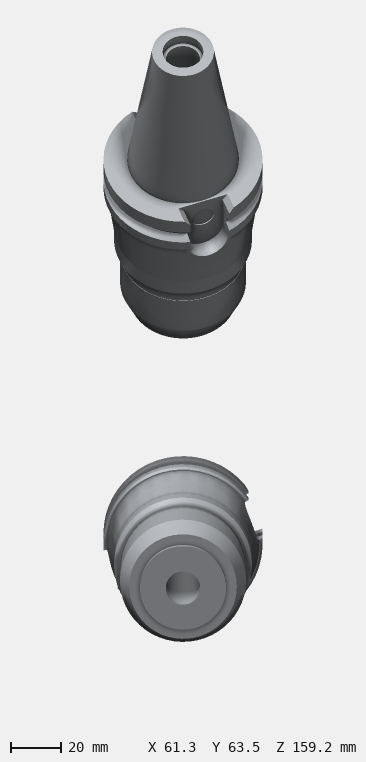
import cadquery as cq

total_height = 159.2
nose_top = 2.4
nut_cone_top = 12.0
nut_top = 31.0
collar_top = 36.0
shoulder_top = 38.7
body_cone_bottom = 47.0
flange_bottom = 71.3
flange_top = 90.0
gauge_plane = 91.0

nose_radius = 17.2
nut_end_radius = 21.5
nut_radius = 25.1
collar_radius = 25.0
body_radius = 27.5
body_cone_radius = 30.4
flange_radius = 63.5 / 2
gauge_radius = 22.3

taper_slope = 7 / 48
shank_end_radius = gauge_radius - taper_slope * (total_height - gauge_plane)

flange_chamfer = 0.8
groove_radius = 28.2
groove_lower_edge = 76.9
groove_upper_edge = 83.2
groove_wall_rise = 1.3

bore_radius = 6.8
counterbore_radius = 8.1
counterbore_depth = 5.0

slot_width = 16.5
slot_bottom = 63.5
slot_floor_left = 25.0
slot_floor_right = 22.8
slot_mouth_chamfer = 2.2
recess_radius = 4.8
recess_height = 80.0
recess_depth = 0.5


def turned_body():
    """Solid of revolution: clamping nut, body, grooved flange and taper shank."""
    profile = [
        (0, 0),
        (nose_radius, 0),
        (nose_radius, nose_top),
        (nut_end_radius, nose_top),
        (nut_radius, nut_cone_top),
        (nut_radius, nut_top),
        (collar_radius, nut_top),
        (collar_radius, collar_top),
        (body_radius, shoulder_top),
        (body_radius, body_cone_bottom),
        (body_cone_radius, flange_bottom),
        (flange_radius - flange_chamfer, flange_bottom),
        (flange_radius, flange_bottom + flange_chamfer),
        (flange_radius, groove_lower_edge),
        (groove_radius, groove_lower_edge + groove_wall_rise),
        (groove_radius, groove_upper_edge - groove_wall_rise),
        (flange_radius, groove_upper_edge),
        (flange_radius, flange_top),
        (gauge_radius, flange_top),
        (gauge_radius, gauge_plane),
        (shank_end_radius, total_height),
        (0, total_height),
    ]
    return cq.Workplane("YZ").polyline(profile).close().revolve(360, (0, 0), (0, 1))


def axial_bore():
    """Through bore with a counterbore in the small end of the shank."""
    bore = cq.Workplane("XY").circle(bore_radius).extrude(total_height)
    counterbore = (
        cq.Workplane("XY", origin=(0, 0, total_height))
        .circle(counterbore_radius)
        .extrude(-counterbore_depth)
    )
    return bore.union(counterbore)


def drive_slot(side, floor_distance):
    """Round-ended slot with a chamfered mouth and a shallow round recess in its floor."""
    half_width = slot_width / 2
    mouth_half_width = half_width + slot_mouth_chamfer
    arc_height = slot_bottom + half_width
    chamfer_height = flange_top - slot_mouth_chamfer
    floor = cq.Workplane("YZ", origin=(side * floor_distance, 0, 0))
    slot = (
        floor.moveTo(-half_width, arc_height)
        .threePointArc((0, slot_bottom), (half_width, arc_height))
        .lineTo(half_width, chamfer_height)
        .lineTo(mouth_half_width, flange_top)
        .lineTo(-mouth_half_width, flange_top)
        .lineTo(-half_width, chamfer_height)
        .close()
        .extrude(side * flange_radius)
    )
    recess = (
        floor.center(0, recess_height)
        .circle(recess_radius)
        .extrude(-side * recess_depth)
    )
    return slot.union(recess)


result = (
    turned_body()
    .cut(axial_bore())
    .cut(drive_slot(-1, slot_floor_left))
    .cut(drive_slot(1, slot_floor_right))
)